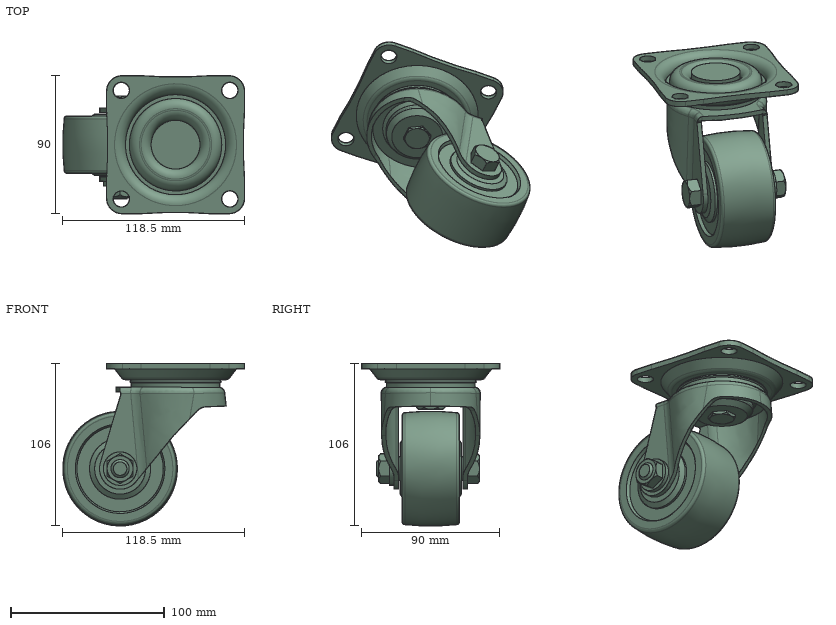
import cadquery as cq
import math


total_length = 118.5

plate_side = 90.0
sheet = 3.5
plate_corner_radius = 10.3
plate_hole_radius = 5.2
plate_hole_offset = 35.3
waist_half_length = 22.4
waist_depth = 0.8
dish_radius = 39.7
dish_depth = 7.1
flank_foot = (35.2, -9.4)
dome_outer_radius = 30.1
dome_crest_outer = 23.5
dome_crest_inner = 22.4

head_radius = 15.9
pin_radius = 7.1
pin_nut_corners = 18.2
pin_end_z = -29.9

fork_top_z = -15.4
fork_wall = 3.1
fork_bend_radius = 4.1
arm_outer_y = 23.9
skirt_radius = 32.1
bend_z = -19.8
skirt_lean = 0.09
skirt_flare = 0.02
skirt_rim_z = -26.9
tongue_x = -38.9
tongue_corner_x = -36.1
blend_start_x = -29.2
blend_end_x = -23.1
blend_rise = 1.9
fork_front_x = -53.3
fork_loft_z = -83.0
fork_reach = 59.2
rim_clearance = 1.2
arm_front_x = -35.5
arm_heel_angle = -36.0
flank_low_point = (-1.2, -46.9)
flank_high_point = (14.5, -30.6)
rim_bend_point = (16.8, -29.0)
rim_start_point = (19.7, -28.3)
arm_end_radius = 13.4

neck_radius = 28.9
neck_lip_radius = 29.7
neck_lip_z = -12.0
neck_lip_height = 0.8
race_radius = 20.4
race_root_radius = 22.5
race_root_z = -20.9
race_step_z = -23.0
race_slope_radius = 20.0
race_slope_z = -24.2
race_end_radius = 16.6
race_bottom_z = -27.6

axle_z = -68.5
wheel_radius = 37.5
wheel_half_width = 18.6
tread_edge_y = 16.8
tread_edge_radius = 36.5
side_face_radius = 34.4
tread_corner_point = (35.9, 18.1)
recess_radius = 29.2
recess_floor_radius = 28.1
recess_y = 16.4
hub_shoulder_y = 17.9
hub_base_radius = 19.9
hub_top_radius = 16.6
hub_y = 19.9
spacer_radius = 7.8

axle_radius = 5.9
axle_tip_radius = 4.4
axle_tip_y = -35.3
hex_across_flats = 16.8
head_height = 7.8
nut_height = 7.0
washer_radius = 10.9
washer_thickness = 3.0

half_side = plate_side / 2
trail = total_length - half_side - wheel_radius
dish_floor_z = -dish_depth
plate_bottom_z = dish_floor_z - sheet
dish_floor_radius = dish_radius - dish_depth
arm_inner_y = arm_outer_y - fork_wall
fork_ceiling_z = fork_top_z - fork_wall
hex_corners = hex_across_flats / math.cos(math.pi / 6)
COS45 = math.cos(math.pi / 4)


def revolve_z(profile):
    """Full turn of an XZ profile about the swivel axis."""
    return profile.close().revolve(360, (0, 0, 0), (0, 1, 0))


def chamfered_hex(across_corners, height):
    """Hexagon standing on Z = 0 with corners on the Y axis and turned-down corners at the top."""
    corner_radius = across_corners / 2
    flat_radius = corner_radius * math.cos(math.pi / 6)
    prism = cq.Workplane("XY").polygon(6, across_corners).extrude(height).rotate((0, 0, 0), (0, 0, 1), 90)
    envelope = revolve_z(
        cq.Workplane("XZ")
        .lineTo(corner_radius, 0)
        .lineTo(corner_radius, height - (corner_radius - flat_radius))
        .lineTo(flat_radius, height)
        .lineTo(0, height)
    )
    return prism.intersect(envelope)


def dish_cutter():
    """Ring-shaped dish with a rounded wall outside and the central dome inside."""
    bow = dish_depth * COS45
    dome_round = dome_outer_radius - dome_crest_outer
    return revolve_z(
        cq.Workplane("XZ")
        .moveTo(dish_radius, 0)
        .threePointArc((dish_radius - bow, dish_floor_z + bow), (dish_floor_radius, dish_floor_z))
        .lineTo(dome_outer_radius, dish_floor_z)
        .lineTo(dome_outer_radius, -dome_round)
        .threePointArc(
            (dome_crest_outer + dome_round * COS45, dome_round * (COS45 - 1)), (dome_crest_outer, 0)
        )
    )


def dimple_cutter():
    """Recess of the dome that takes the king pin head."""
    dimple_round = dome_crest_inner - head_radius
    return revolve_z(
        cq.Workplane("XZ")
        .moveTo(0, 0)
        .lineTo(dome_crest_inner, 0)
        .threePointArc(
            (dome_crest_inner - dimple_round * COS45, dimple_round * (COS45 - 1)),
            (head_radius, -dimple_round),
        )
        .lineTo(head_radius, dish_floor_z)
        .lineTo(0, dish_floor_z)
    )


def dish_underside():
    """Pressed-down body of the dish below the flat sheet, with a sloping flank and rounded foot."""
    return revolve_z(
        cq.Workplane("XZ")
        .moveTo(0, -sheet)
        .lineTo(dish_radius, -sheet)
        .lineTo(*flank_foot)
        .tangentArcPoint((dish_floor_radius, plate_bottom_z), relative=False)
        .lineTo(0, plate_bottom_z)
    )


def make_plate():
    plate = (
        cq.Workplane("XY")
        .rect(plate_side, plate_side)
        .extrude(-sheet)
        .edges("|Z")
        .fillet(plate_corner_radius)
        .cut(
            cq.Workplane("XY")
            .rect(2 * plate_hole_offset, 2 * plate_hole_offset, forConstruction=True)
            .vertices()
            .circle(plate_hole_radius)
            .extrude(-sheet)
        )
    )
    waist = (
        cq.Workplane("XY")
        .moveTo(half_side, -waist_half_length)
        .threePointArc((half_side - waist_depth, 0), (half_side, waist_half_length))
        .close()
        .extrude(-sheet)
    )
    for side in range(4):
        plate = plate.cut(waist.rotate((0, 0, 0), (0, 0, 1), 90 * side))
    pin_bore = cq.Workplane("XY").circle(pin_radius).extrude(plate_bottom_z)
    return plate.union(dish_underside()).cut(dish_cutter()).cut(dimple_cutter()).cut(pin_bore)


def make_king_pin():
    shank = cq.Workplane("XY").circle(pin_radius).extrude(race_bottom_z)
    head = cq.Workplane("XY").circle(head_radius).extrude(dish_floor_z)
    nut = (
        chamfered_hex(pin_nut_corners, race_bottom_z - pin_end_z)
        .rotate((0, 0, 0), (1, 0, 0), 180)
        .translate((0, 0, race_bottom_z))
    )
    return shank.union(head).union(nut)


def half_outline(z, inset):
    """Closed wire of the +Y half of the fork walls in plan: arm, concave blend, bulged flank, skirt.

    inset moves the outline inward by the wall thickness.
    """
    depth = bend_z - z
    shift = skirt_lean * depth
    radius = skirt_radius + skirt_flare * depth - inset
    arm_y = arm_outer_y - inset

    flank_angle = 2 * math.atan2(blend_rise, blend_end_x - blend_start_x)
    normal = (math.sin(flank_angle), -math.cos(flank_angle))
    start = (blend_end_x, arm_y + blend_rise)
    along_normal = start[0] * normal[0] + start[1] * normal[1]
    flank_radius = (radius**2 - start[0]**2 - start[1]**2) / (2 * (radius + along_normal))
    centre = (start[0] + flank_radius * normal[0], start[1] + flank_radius * normal[1])
    flank_end_angle = math.atan2(-centre[1], -centre[0])

    def skirt_point(angle):
        return (shift + radius * math.cos(angle), radius * math.sin(angle))

    return (
        cq.Workplane("XY", origin=(0, 0, z))
        .moveTo(fork_front_x, 0)
        .lineTo(fork_front_x, arm_y)
        .lineTo(blend_start_x + shift, arm_y)
        .tangentArcPoint((start[0] + shift, start[1]), relative=False)
        .tangentArcPoint(skirt_point(flank_end_angle), relative=False)
        .threePointArc(skirt_point(flank_end_angle / 2), skirt_point(0))
        .close()
        .val()
    )


def half_block(top_z, inset):
    """Solid between the half outline at top_z and the one at the lowest level."""
    return cq.Workplane(
        cq.Solid.makeLoft([half_outline(top_z, inset), half_outline(fork_loft_z, inset)], True)
    )


def mirrored(half):
    """Join a +Y half with its mirror image."""
    return half.union(half.mirror("XZ")).clean()


def fork_shell():
    """Hollow crown and skirt with a rounded top edge, before the outlines are trimmed."""
    on_rim = cq.selectors.BoxSelector(
        (fork_front_x + rim_clearance, rim_clearance, fork_ceiling_z),
        (fork_reach, fork_reach, 0),
    )
    rounded = half_block(fork_top_z, 0).faces(">Z").edges(on_rim).fillet(fork_bend_radius)
    return mirrored(rounded).cut(mirrored(half_block(fork_ceiling_z, fork_wall)))


def side_silhouette():
    """Side outline of the fork, from the tongue down around the axle and up to the skirt rim."""
    axle = (-trail, axle_z)
    front_top = (arm_front_x, bend_z)
    front_dx = front_top[0] - axle[0]
    front_dz = front_top[1] - axle[1]
    tangent_angle = math.atan2(front_dz, front_dx) + math.acos(
        arm_end_radius / math.hypot(front_dx, front_dz)
    )
    heel_angle = math.radians(arm_heel_angle)

    def arm_end_point(angle):
        return (axle[0] + arm_end_radius * math.cos(angle), axle[1] + arm_end_radius * math.sin(angle))

    return (
        cq.Workplane("XZ", origin=(0, fork_reach, 0))
        .moveTo(tongue_x, fork_top_z)
        .lineTo(tongue_x, fork_ceiling_z)
        .lineTo(tongue_corner_x, fork_ceiling_z)
        .lineTo(*front_top)
        .lineTo(*arm_end_point(tangent_angle))
        .threePointArc((axle[0], axle[1] - arm_end_radius), arm_end_point(heel_angle))
        .lineTo(*flank_low_point)
        .lineTo(*flank_high_point)
        .threePointArc(rim_bend_point, rim_start_point)
        .lineTo(fork_reach, skirt_rim_z)
        .lineTo(fork_reach, fork_top_z)
        .close()
        .extrude(2 * fork_reach)
    )


def tongue_outline():
    """Plan of the fork with its bowed front edge, as a tall prism."""
    return (
        cq.Workplane("XY")
        .moveTo(tongue_corner_x, -arm_inner_y)
        .threePointArc((tongue_x, 0), (tongue_corner_x, arm_inner_y))
        .lineTo(tongue_corner_x, fork_reach)
        .lineTo(fork_reach, fork_reach)
        .lineTo(fork_reach, -fork_reach)
        .lineTo(tongue_corner_x, -fork_reach)
        .close()
        .extrude(fork_ceiling_z)
    )


def swivel_neck():
    """Lipped upper ball race that carries the plate."""
    return revolve_z(
        cq.Workplane("XZ")
        .moveTo(0, plate_bottom_z)
        .lineTo(neck_radius, plate_bottom_z)
        .lineTo(neck_lip_radius, neck_lip_z)
        .lineTo(neck_radius, neck_lip_z - neck_lip_height)
        .lineTo(neck_radius, fork_ceiling_z)
        .lineTo(0, fork_ceiling_z)
    )


def lower_race():
    """Ball race cup under the fork crown, with a sloping lower edge."""
    return revolve_z(
        cq.Workplane("XZ")
        .moveTo(0, fork_ceiling_z)
        .lineTo(race_root_radius, fork_ceiling_z)
        .lineTo(race_radius, race_root_z)
        .lineTo(race_radius, race_step_z)
        .lineTo(race_slope_radius, race_slope_z)
        .lineTo(race_end_radius, race_bottom_z)
        .lineTo(0, race_bottom_z)
    )


def make_fork():
    below_crown = (
        cq.Workplane("XY", origin=(0, 0, fork_ceiling_z))
        .rect(2 * fork_reach, 2 * fork_reach)
        .extrude(fork_loft_z)
    )
    shell = fork_shell().intersect(side_silhouette()).intersect(tongue_outline().union(below_crown))
    pin_bore = (
        cq.Workplane("XY", origin=(0, 0, plate_bottom_z))
        .circle(pin_radius)
        .extrude(race_bottom_z - plate_bottom_z)
    )
    return shell.union(swivel_neck()).union(lower_race()).cut(pin_bore).cut(axle_bore())


def revolve_axle(profile):
    """Full turn about the wheel axis of a closed profile in (radius, Y) coordinates."""
    turned = profile.close().revolve(360, (0, 0, 0), (0, 1, 0))
    return turned.translate((-trail, 0, axle_z))


def axle_bore():
    """Cylinder along the wheel axis that passes through both arms."""
    return (
        cq.Workplane("XZ", origin=(-trail, fork_reach, axle_z))
        .circle(axle_radius)
        .extrude(2 * fork_reach)
    )


def make_wheel():
    """Crowned wheel with a shallow recess in both faces, a tapered hub and short spacers."""
    face = [
        (axle_radius, arm_inner_y),
        (spacer_radius, arm_inner_y),
        (spacer_radius, hub_y),
        (hub_top_radius, hub_y),
        (hub_base_radius, hub_shoulder_y),
        (hub_base_radius, recess_y),
        (recess_floor_radius, recess_y),
        (recess_radius, wheel_half_width),
        (side_face_radius, wheel_half_width),
    ]
    opposite_face = [(radius, -y) for radius, y in reversed(face)]
    corner_radius, corner_y = tread_corner_point
    return revolve_axle(
        cq.Workplane("XY")
        .polyline(face)
        .threePointArc(tread_corner_point, (tread_edge_radius, tread_edge_y))
        .threePointArc((wheel_radius, 0), (tread_edge_radius, -tread_edge_y))
        .threePointArc((corner_radius, -corner_y), opposite_face[0])
        .polyline(opposite_face)
    )


def axle_hex(start_y, height, outward):
    """Hexagon around the axle from start_y; outward is +1 or -1 along Y."""
    return (
        chamfered_hex(hex_corners, height)
        .rotate((0, 0, 0), (1, 0, 0), -90 * outward)
        .translate((-trail, start_y, axle_z))
    )


def make_axle():
    """Axle bolt with its head on the +Y arm, washer and nut on the -Y arm."""
    washer_y = -arm_outer_y - washer_thickness
    nut_outer_y = washer_y - nut_height
    shank_and_washer = revolve_axle(
        cq.Workplane("XY")
        .moveTo(0, arm_outer_y)
        .lineTo(axle_radius, arm_outer_y)
        .lineTo(axle_radius, -arm_outer_y)
        .lineTo(washer_radius, -arm_outer_y)
        .lineTo(washer_radius, washer_y)
        .lineTo(axle_radius, washer_y)
        .lineTo(axle_radius, nut_outer_y)
        .lineTo(axle_tip_radius, axle_tip_y)
        .lineTo(0, axle_tip_y)
    )
    head = axle_hex(arm_outer_y, head_height, 1)
    nut = axle_hex(washer_y, nut_height, -1)
    return shank_and_washer.union(head).union(nut)


plate = make_plate()
king_pin = make_king_pin()
fork = make_fork()
wheel = make_wheel()
axle = make_axle()

result = cq.Compound.makeCompound(
    [plate.val(), king_pin.val(), fork.val(), wheel.val(), axle.val()]
)